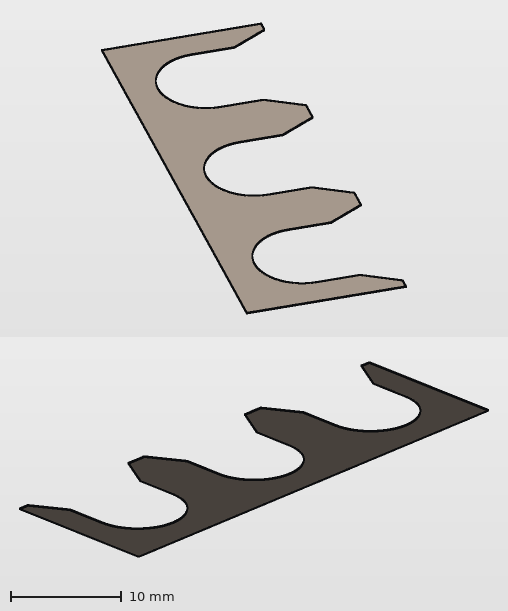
import cadquery as cq
import math

length = 45.0
slot_count = 3
thickness = 0.1
pitch = length / slot_count
depth = pitch

slot_width = 9.0
slot_radius = slot_width / 2
floor_width = depth / 5
arc_center_y = floor_width + slot_radius

flare_width = 2.0
flare_angle = 60.0
flare_depth = flare_width * math.tan(math.radians(flare_angle))
mouth_half_width = slot_radius + flare_width
flare_start_y = depth - flare_depth


def make_slot(center_x):
    """Cutter for one slot, open at the far Y edge."""
    left = center_x - slot_radius
    right = center_x + slot_radius
    return (
        cq.Workplane("XY")
        .moveTo(center_x - mouth_half_width, depth)
        .lineTo(left, flare_start_y)
        .lineTo(left, arc_center_y)
        .threePointArc((center_x, floor_width), (right, arc_center_y))
        .lineTo(right, flare_start_y)
        .lineTo(center_x + mouth_half_width, depth)
        .close()
        .extrude(thickness)
    )


result = cq.Workplane("XY").box(length, depth, thickness, centered=False)
for index in range(slot_count):
    result = result.cut(make_slot((index + 0.5) * pitch))